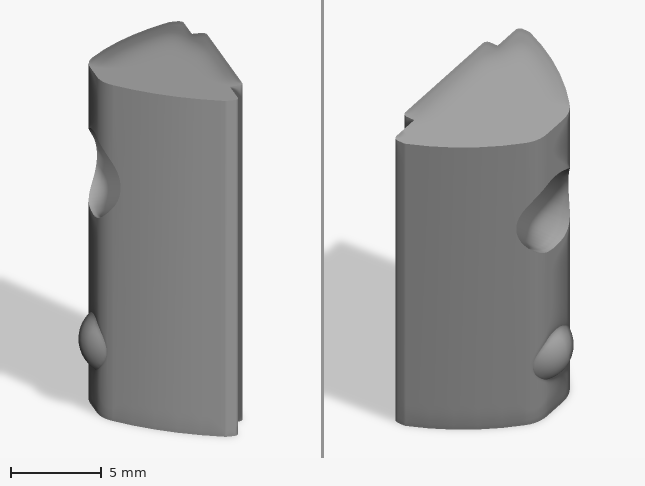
import cadquery as cq
import math

length = 20.0
width = 12.0
depth = 7.5

rib_width = 8.0
rib_height = 0.8

flank_start_depth = 1.55
flank_radius = 15.0
nose_corner_width = 3.0
nose_blend_radius = 2.0
edge_radius = 0.3

hole_diameter = 5.0
hole_height = 14.0
ball_radius = 2.0
ball_projection = 0.8
ball_height = 4.0


def flank_midpoint():
    """Middle of the right flank arc, bulging away from the body."""
    start_x, start_y = width / 2, -flank_start_depth
    end_x, end_y = nose_corner_width / 2, -depth
    run_x, run_y = end_x - start_x, end_y - start_y
    chord = math.hypot(run_x, run_y)
    bulge = flank_radius - math.sqrt(flank_radius**2 - (chord / 2) ** 2)
    mid_x = (start_x + end_x) / 2 - bulge * run_y / chord
    mid_y = (start_y + end_y) / 2 + bulge * run_x / chord
    return mid_x, mid_y


def vertical_edges_at(body, half_width, y):
    """Select the mirrored pair of upright edges at X = +/- half_width."""
    margin = 0.02
    pair = None
    for x in (-half_width, half_width):
        box = cq.selectors.BoxSelector(
            (x - margin, y - margin, -margin),
            (x + margin, y + margin, length + margin),
        )
        edges = body.edges("|Z").edges(box)
        pair = edges if pair is None else pair.add(edges)
    return pair


def make_body():
    mid_x, mid_y = flank_midpoint()
    body = (
        cq.Workplane("XY")
        .moveTo(-rib_width / 2, 0)
        .lineTo(rib_width / 2, 0)
        .lineTo(rib_width / 2, -rib_height)
        .lineTo(width / 2, -rib_height)
        .lineTo(width / 2, -flank_start_depth)
        .threePointArc((mid_x, mid_y), (nose_corner_width / 2, -depth))
        .lineTo(-nose_corner_width / 2, -depth)
        .threePointArc((-mid_x, mid_y), (-width / 2, -flank_start_depth))
        .lineTo(-width / 2, -rib_height)
        .lineTo(-rib_width / 2, -rib_height)
        .close()
        .extrude(length)
    )
    rounded_corners = (
        (rib_width / 2, 0, edge_radius),
        (width / 2, -rib_height, edge_radius),
        (width / 2, -flank_start_depth, edge_radius),
        (nose_corner_width / 2, -depth, nose_blend_radius),
    )
    for half_width, y, radius in rounded_corners:
        body = vertical_edges_at(body, half_width, y).fillet(radius)
    return body


def make_hole():
    return (
        cq.Workplane("XZ")
        .center(0, hole_height)
        .circle(hole_diameter / 2)
        .extrude(depth)
    )


def make_ball():
    center_y = -(depth + ball_projection - ball_radius)
    return cq.Workplane("XY").sphere(ball_radius).translate((0, center_y, ball_height))


result = make_body().cut(make_hole()).union(make_ball())